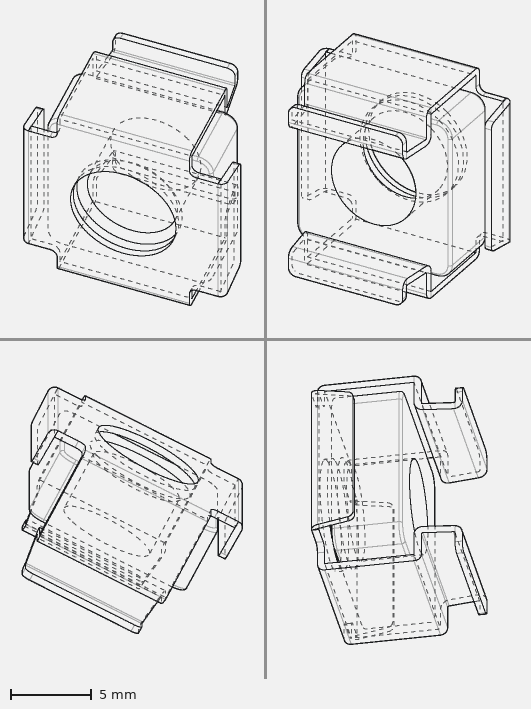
import cadquery as cq
import math

span = 13.5
sheet = 0.46
clip_width = 8.78
flap_height = 9.96
notch_radius = 0.47
cage_hole_diameter = 6.99

cage_depth = 6.53
overall_depth = 9.06
hook_inner_z = 4.27
lip_end_z = 6.0
hook_bend_inner = 0.1
hook_bend_outer = hook_bend_inner + sheet
lip_width = 8.13
lip_corner_radius = 0.53

flap_depth = 2.7
flap_taper = 10.0
flap_corner_radius = 0.4

nut_size = 10.96
nut_front_y = 1.08
nut_thickness = 4.45
nut_corner_radius = 1.0
nut_edge_radius = 0.2
bore_diameter = 6.0
bore_chamfer = (cage_hole_diameter - bore_diameter) / 2

half_span = span / 2
reach = 0.01


def make_plate():
    """Cross-shaped front plate with filleted inner corners and the screw hole."""
    def slab(width, height):
        return cq.Workplane("XY").box(width, sheet, height).translate((0, sheet / 2, 0))

    cross = slab(clip_width, span).union(slab(span, flap_height))
    corner_x = clip_width / 2
    corner_z = flap_height / 2
    for sx in (-1, 1):
        for sz in (-1, 1):
            corner = cq.selectors.BoxSelector(
                (sx * corner_x - reach, -reach, sz * corner_z - reach),
                (sx * corner_x + reach, sheet + reach, sz * corner_z + reach),
            )
            cross = cross.edges("|Y").edges(corner).fillet(notch_radius)
    hole = cq.Workplane("XZ").circle(cage_hole_diameter / 2).extrude(-sheet)
    return cross.cut(hole)


def round_edge(body, y, z, radius):
    """Fillet the X-direction edge that passes through (y, z)."""
    edge = cq.selectors.BoxSelector(
        (-span, y - reach, z - reach), (span, y + reach, z + reach)
    )
    return body.edges("|X").edges(edge).fillet(radius)


def make_upper_clip():
    """Bent strip: top wall, returning wall, shelf and upturned lip."""
    top_inner = half_span - sheet
    shelf_top = hook_inner_z + sheet
    wall_inner = cage_depth - sheet
    lip_inner = overall_depth - sheet
    outline = [
        (0, top_inner),
        (0, half_span),
        (cage_depth, half_span),
        (cage_depth, shelf_top),
        (lip_inner, shelf_top),
        (lip_inner, lip_end_z),
        (overall_depth, lip_end_z),
        (overall_depth, hook_inner_z),
        (wall_inner, hook_inner_z),
        (wall_inner, top_inner),
    ]
    clip = cq.Workplane("YZ").polyline(outline).close().extrude(clip_width / 2, both=True)

    clip = round_edge(clip, cage_depth, half_span, sheet)
    clip = round_edge(clip, cage_depth, shelf_top, hook_bend_inner)
    clip = round_edge(clip, lip_inner, shelf_top, hook_bend_inner)
    clip = round_edge(clip, wall_inner, hook_inner_z, hook_bend_outer)
    clip = round_edge(clip, overall_depth, hook_inner_z, hook_bend_outer)

    plan = [
        (-clip_width / 2, 0),
        (clip_width / 2, 0),
        (clip_width / 2, wall_inner),
        (lip_width / 2, lip_inner),
        (lip_width / 2, overall_depth),
        (-lip_width / 2, overall_depth),
        (-lip_width / 2, lip_inner),
        (-clip_width / 2, wall_inner),
    ]
    envelope = cq.Workplane("XY").polyline(plan).close().extrude(half_span)
    clip = clip.intersect(envelope)

    lip_corners = cq.selectors.BoxSelector(
        (-span, lip_inner, lip_end_z - sheet), (span, overall_depth, half_span)
    )
    return clip.edges("|Y").edges(lip_corners).fillet(lip_corner_radius)


def make_right_flap():
    """Side flap with tapered ends and rounded free corners."""
    root = flap_height / 2
    tip = root - flap_depth * math.tan(math.radians(flap_taper))
    outline = [(0, -root), (flap_depth, -tip), (flap_depth, tip), (0, root)]
    flap = cq.Workplane("YZ", origin=(half_span - sheet, 0, 0)).polyline(outline).close().extrude(sheet)
    return flap.edges("|X and >Y").fillet(flap_corner_radius)


def make_bend_envelope():
    """Block whose four front edges carry the outer radius of the bends."""
    block = cq.Workplane("XZ").rect(span, span).extrude(-overall_depth)
    return block.faces("<Y").edges().fillet(sheet)


def make_cage():
    upper_clip = make_upper_clip()
    right_flap = make_right_flap()
    cage = make_plate().union(upper_clip).union(upper_clip.mirror("XY"))
    cage = cage.union(right_flap).union(right_flap.mirror("YZ"))

    cage = cage.intersect(make_bend_envelope())

    for side in (-1, 1):
        bend_zone = (
            cq.Workplane("XY")
            .box(sheet, sheet, span)
            .translate((side * (half_span - sheet / 2), sheet / 2, 0))
        )
        flap = right_flap if side > 0 else right_flap.mirror("YZ")
        cage = cage.cut(bend_zone.cut(flap))
    return cage


def make_nut():
    """Square nut with rounded edges and a countersunk bore."""
    nut = (
        cq.Workplane("XZ", origin=(0, nut_front_y, 0))
        .rect(nut_size, nut_size)
        .extrude(-nut_thickness)
        .edges("|Y")
        .fillet(nut_corner_radius)
        .faces("<Y or >Y")
        .edges()
        .fillet(nut_edge_radius)
    )
    bore = (
        cq.Workplane("XZ", origin=(0, nut_front_y, 0))
        .circle(bore_diameter / 2)
        .extrude(-nut_thickness)
    )
    countersink = cq.Workplane(
        cq.Solid.makeCone(
            cage_hole_diameter / 2,
            bore_diameter / 2,
            bore_chamfer,
            pnt=cq.Vector(0, nut_front_y, 0),
            dir=cq.Vector(0, 1, 0),
        )
    )
    return nut.cut(bore).cut(countersink)


cage = make_cage()
nut = make_nut()
result = cq.Compound.makeCompound([cage.val(), nut.val()])